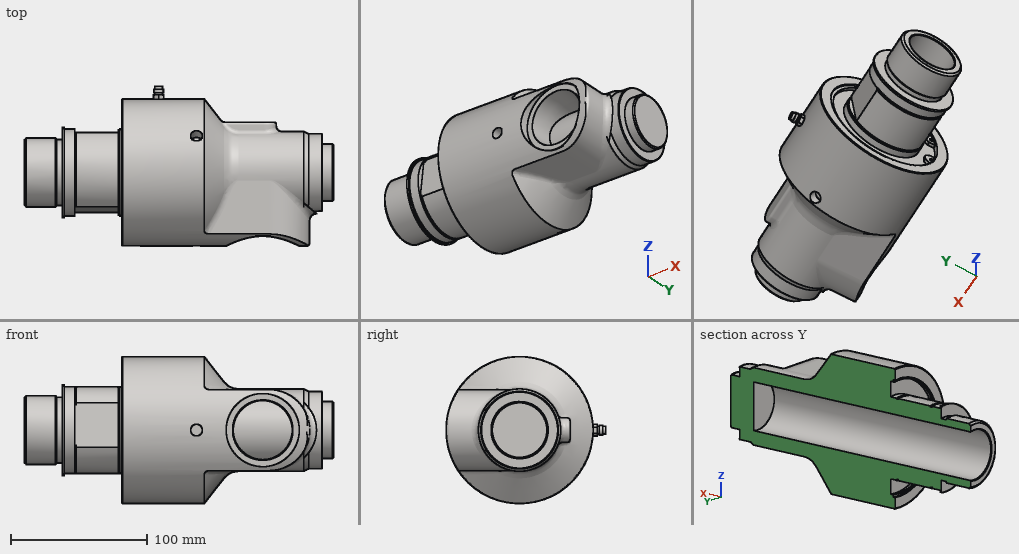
import cadquery as cq
import math


THREAD_END = 24.2
FLANGE_START = 27.6
FLANGE_END = 29.2
COLLAR_END = 37.0
HOUSING_START = 71.4
CONE_START = 132.0
NECK_END = 205.0
SPIGOT_START = 208.5
SPIGOT_END = 218.6
TOTAL_LENGTH = 226.91

THREAD_DIAMETER = 50.75
RELIEF_DIAMETER = 48.6
FLANGE_DIAMETER = 66.7
COLLAR_DIAMETER = 64.0
THREAD_CHAMFER = 1.5
SPINDLE_BORE = 38.1
SPINDLE_BORE_END = NECK_END
SPINDLE_BORE_CHAMFER = 0.5
FLATS_START = 38.2
FLATS_END = 68.8
FLATS_WIDTH = 54.9
FLATS_TILT = 7.7
COLLAR_GROOVE_DEPTH = 0.7
REAR_GROOVE_WIDTH = 1.2

HOUSING_DIAMETER = 108.0
HOUSING_RADIUS = HOUSING_DIAMETER / 2
HOUSING_CHAMFER = 0.6
CONE_ANGLE = 52.0
NECK_RADIUS = 30.25
CONE_NECK_FILLET = 13.5
SPIGOT_DIAMETER = 56.9
SPIGOT_CHAMFER = 0.5
PLUG_DIAMETER = 42.0
PLUG_CHAMFER = 1.0

ARM_HALF_WIDTH = 29.7
ARM_END_CENTER = 179.7
ARM_EDGE_FILLET = 2.5
ARM_ROOT_FILLET = 5.0
ARM_FOOT_HALF_WIDTH = 20.0
ARM_REACH = 60.0
ARM_OVERLAP = 12.0
PORT_X = 174.9
PORT_BORE = 43.26
PORT_RECESS_DIAMETER = 53.7
PORT_RECESS_FLOOR = 46.3
PORT_MOUTH = 44.4
PORT_TAPER_LENGTH = 19.0
PORT_CORE_DIAMETER = 52.0

PAD_TOP = 37.0
PAD_HALF_WIDTH = 9.0
PAD_START = 140.0
PAD_END_CENTER = 176.0
PAD_TOP_FILLET = 2.0
PAD_ROOT_FILLET = 3.5

WEEP_DIAMETER = 8.6
WEEP_X = 126.3
WEEP_DEPTH = 10.0
WEEP_ANGLES = (60, 180, 300)

RECESS_DIAMETER = 90.07
RECESS_DEPTH = 4.0
RING_FRONT = 1.5
RING_INNER_DIAMETER = 86.8
RING_OFFSET = 1.2
RING_THICKNESS = RECESS_DEPTH - RING_FRONT
LUG_HOLE_DIAMETER = 3.12
LUG_HOLE_Y = -41.0
LUG_HOLE_Z = 14.5
LUG_SIDE_Z = 9.3
LUG_WIDTH = 10.9
LUG_INNER_Y = -35.5
LUG_LENGTH = 12.0
LUG_CHAMFER = 3.2

NIPPLE_X = 98.5
NIPPLE_TIP = 63.41
NIPPLE_ROOT_DEPTH = 1.0
NIPPLE_HEX_TOP = 57.0
NIPPLE_HEX_WIDTH = 7.6
NIPPLE_STEM_DIAMETER = 6.0
NIPPLE_BEAD_DIAMETER = 7.4
NIPPLE_BEAD_START = 58.6
NIPPLE_BEAD_END = 61.0


def x_cylinder(diameter, start, end):
    """Cylinder about the X axis."""
    return cq.Workplane("YZ", origin=(start, 0, 0)).circle(diameter / 2).extrude(end - start)


def y_cylinder(diameter, x, start, end):
    """Cylinder parallel to the Y axis, centred on the plane z = 0."""
    return cq.Workplane("XZ", origin=(x, start, 0)).circle(diameter / 2).extrude(start - end)


def round_ended_bar(start, end_center, half_width, y=0):
    """Outline in a plane across Y: a straight bar along X closed by a half circle."""
    return (
        cq.Workplane("XZ", origin=(0, y, 0))
        .moveTo(start, -half_width)
        .lineTo(end_center, -half_width)
        .threePointArc((end_center + half_width, 0), (end_center, half_width))
        .lineTo(start, half_width)
        .close()
    )


def box_around_x(x):
    """Selector for edges centred close to a plane across the X axis."""
    reach = 2 * HOUSING_DIAMETER
    return cq.selectors.BoxSelector((x - 1, -reach, -reach), (x + 1, reach, reach))


def ring_groove(start, end):
    """Shallow groove around the spindle collar."""
    floor = x_cylinder(COLLAR_DIAMETER - 2 * COLLAR_GROOVE_DEPTH, start, end)
    return x_cylinder(FLANGE_DIAMETER, start, end).cut(floor)


def spindle():
    """Threaded end, relief, flange and collar with two wrench flats."""
    thread = x_cylinder(THREAD_DIAMETER, 0, THREAD_END).faces("<X or >X").chamfer(THREAD_CHAMFER)
    relief = x_cylinder(RELIEF_DIAMETER, THREAD_END - THREAD_CHAMFER, FLANGE_START)
    flange = x_cylinder(FLANGE_DIAMETER, FLANGE_START, FLANGE_END)
    collar = x_cylinder(COLLAR_DIAMETER, FLANGE_END, HOUSING_START + RECESS_DEPTH)
    between_flats = (
        cq.Workplane("XY")
        .box(FLATS_END - COLLAR_END, FLATS_WIDTH, 2 * COLLAR_DIAMETER)
        .translate(((COLLAR_END + FLATS_END) / 2, 0, 0))
        .rotate((0, 0, 0), (1, 0, 0), -FLATS_TILT)
    )
    flats = x_cylinder(2 * COLLAR_DIAMETER, COLLAR_END, FLATS_END).cut(between_flats)
    whole = thread.union(relief).union(flange).union(collar).cut(flats)
    whole = whole.cut(ring_groove(COLLAR_END, FLATS_START))
    return whole.cut(ring_groove(FLATS_END, FLATS_END + REAR_GROOVE_WIDTH))


def spindle_bore():
    """Blind bore with a chamfered mouth at the threaded end."""
    mouth = (
        cq.Workplane("YZ")
        .circle(SPINDLE_BORE / 2 + SPINDLE_BORE_CHAMFER)
        .extrude(SPINDLE_BORE_CHAMFER, taper=45)
    )
    return x_cylinder(SPINDLE_BORE, 0, SPINDLE_BORE_END).union(mouth)


def turned_core():
    """Cone and straight neck about X; the cone runs on past the housing surface."""
    slope = math.tan(math.radians(CONE_ANGLE))
    cone_tip_radius = HOUSING_DIAMETER
    cone_tip = CONE_START - (cone_tip_radius - HOUSING_RADIUS) / slope
    cone_foot = CONE_START + (HOUSING_RADIUS - NECK_RADIUS) / slope
    profile = (
        cq.Workplane("XY")
        .moveTo(cone_tip, 0)
        .lineTo(cone_tip, cone_tip_radius)
        .lineTo(cone_foot, NECK_RADIUS)
        .lineTo(SPIGOT_END, NECK_RADIUS)
        .lineTo(SPIGOT_END, 0)
        .close()
    )
    core = profile.revolve(360, (0, 0, 0), (1, 0, 0))
    foot_edge = core.edges("%CIRCLE").edges(box_around_x(cone_foot))
    return foot_edge.fillet(CONE_NECK_FILLET)


def arm():
    """Flat-sided arm with a round end, long enough to reach past the housing surface."""
    return round_ended_bar(CONE_START - ARM_OVERLAP, ARM_END_CENTER, ARM_HALF_WIDTH).extrude(ARM_REACH)


def is_arm_root(edge):
    """True for the curved edges where the arm meets the cone and the neck."""
    bounds = edge.BoundingBox()
    inside = bounds.ymax < 0 and bounds.ymin > -ARM_REACH - 0.1
    return inside and edge.geomType() not in ("LINE", "CIRCLE")


def neck_with_arm():
    """Core and arm blended together, trimmed to the housing cylinder and turned down at the spigot."""
    joined = turned_core().union(arm())
    root_edges = [edge for edge in joined.edges().vals() if is_arm_root(edge)]
    joined = joined.newObject(root_edges).fillet(ARM_ROOT_FILLET)
    joined = joined.intersect(x_cylinder(HOUSING_DIAMETER, CONE_START, SPIGOT_END))
    return joined.cut(spigot_turning()).union(arm_foot()).cut(arm_edge_rounding())


def spigot_turning():
    """Cutter that leaves the tapered shoulder and the spigot."""
    spigot_radius = SPIGOT_DIAMETER / 2
    return (
        cq.Workplane("XY")
        .moveTo(NECK_END, NECK_RADIUS)
        .lineTo(SPIGOT_START, spigot_radius)
        .lineTo(SPIGOT_END - SPIGOT_CHAMFER, spigot_radius)
        .lineTo(SPIGOT_END, spigot_radius - SPIGOT_CHAMFER)
        .lineTo(SPIGOT_END, NECK_RADIUS)
        .close()
        .revolve(360, (0, 0, 0), (1, 0, 0))
    )


def is_foot_edge(edge):
    """True for the curve where the arm end meets the spigot."""
    on_end = edge.BoundingBox().xmin > ARM_END_CENTER + 1 and edge.Center().y < -ARM_FOOT_HALF_WIDTH / 2
    return on_end and edge.geomType() not in ("LINE", "CIRCLE")


def arm_foot():
    """Tip of the arm end blended into the spigot."""
    start = ARM_END_CENTER - ARM_HALF_WIDTH
    spigot = x_cylinder(SPIGOT_DIAMETER, start, SPIGOT_END - SPIGOT_CHAMFER)
    length = 2 * (TOTAL_LENGTH - ARM_END_CENTER)
    slice_box = cq.Workplane("XY").box(length, 2 * HOUSING_DIAMETER, 2 * ARM_FOOT_HALF_WIDTH)
    tip = y_cylinder(2 * ARM_HALF_WIDTH, ARM_END_CENTER, -ARM_REACH, 0)
    tip = tip.intersect(slice_box.translate((ARM_END_CENTER + length / 2, 0, 0)))
    foot = spigot.union(tip)
    foot_edges = [edge for edge in foot.edges().vals() if is_foot_edge(edge)]
    foot = foot.newObject(foot_edges).fillet(ARM_ROOT_FILLET)
    return foot.intersect(x_cylinder(HOUSING_DIAMETER, NECK_END, SPIGOT_END))


def arm_edge_rounding():
    """Cutter that rounds the outer edge of the arm end and fades out towards its flat sides."""
    inner = ARM_HALF_WIDTH - ARM_EDGE_FILLET
    top = ARM_EDGE_FILLET - HOUSING_RADIUS
    middle = ARM_EDGE_FILLET * math.sqrt(0.5)
    return (
        cq.Workplane("XY", origin=(ARM_END_CENTER, 0, 0))
        .moveTo(inner, -HOUSING_RADIUS)
        .threePointArc((inner + middle, top - middle), (ARM_HALF_WIDTH, top))
        .lineTo(ARM_HALF_WIDTH + ARM_EDGE_FILLET, top)
        .lineTo(ARM_HALF_WIDTH + ARM_EDGE_FILLET, -HOUSING_DIAMETER)
        .lineTo(inner, -HOUSING_DIAMETER)
        .close()
        .revolve(180, (0, 0, 0), (0, 1, 0))
        .rotate((ARM_END_CENTER, 0, 0), (ARM_END_CENTER, 1, 0), -90)
    )


def is_pad_root(edge):
    """True for the long edges where the pad side meets the cone blend and the neck."""
    bounds = edge.BoundingBox()
    center = edge.Center()
    beside_pad = abs(center.z) < PAD_HALF_WIDTH + 0.1 and bounds.zmax < NECK_RADIUS / 2
    at_root = NECK_RADIUS - 3 < center.y < PAD_TOP - PAD_TOP_FILLET - 1
    return beside_pad and at_root and bounds.xmax - bounds.xmin > 3


def blend_pad(body):
    """Add the pad to the neck and round its root."""
    pad = round_ended_bar(PAD_START, PAD_END_CENTER, PAD_HALF_WIDTH, PAD_TOP).extrude(PAD_TOP)
    pad = pad.faces(">Y").edges("not <X").fillet(PAD_TOP_FILLET)
    joined = body.union(pad)
    root_edges = [edge for edge in joined.edges().vals() if is_pad_root(edge)]
    return joined.newObject(root_edges).fillet(PAD_ROOT_FILLET)


def housing():
    """Body, cone, neck with arm and pad, spigot and end plug."""
    body = x_cylinder(HOUSING_DIAMETER, HOUSING_START, CONE_START).faces("<X").chamfer(HOUSING_CHAMFER)
    plug = x_cylinder(PLUG_DIAMETER, SPIGOT_END, TOTAL_LENGTH).faces(">X").chamfer(PLUG_CHAMFER)
    return blend_pad(body.union(neck_with_arm())).union(plug)


def port_cut():
    """Port recess and tapered bore, ending on the round inner wall of the neck."""
    recess = y_cylinder(PORT_RECESS_DIAMETER, PORT_X, -HOUSING_DIAMETER, -PORT_RECESS_FLOOR)
    taper_angle = math.degrees(math.atan((PORT_MOUTH - PORT_BORE) / 2 / PORT_TAPER_LENGTH))
    taper = (
        cq.Workplane("XZ", origin=(PORT_X, -PORT_RECESS_FLOOR, 0))
        .circle(PORT_MOUTH / 2)
        .extrude(-PORT_TAPER_LENGTH, taper=taper_angle)
    )
    bore = y_cylinder(PORT_BORE, PORT_X, -PORT_RECESS_FLOOR + PORT_TAPER_LENGTH, 0)
    core = x_cylinder(PORT_CORE_DIAMETER, CONE_START, TOTAL_LENGTH)
    return recess.union(taper).union(bore).cut(core)


def retaining_ring():
    """Eccentric ring in the front recess, open between two drilled lugs."""
    front = HOUSING_START + RING_FRONT
    back = front + RING_THICKNESS
    disc = x_cylinder(RECESS_DIAMETER, front, back)
    opening = x_cylinder(RING_INNER_DIAMETER, front, back).translate((0, -RING_OFFSET, 0))
    gap = cq.Workplane("XY").box(TOTAL_LENGTH, RECESS_DIAMETER, 2 * LUG_SIDE_Z)
    ring = disc.cut(opening).cut(gap.translate((0, -RECESS_DIAMETER / 2, 0)))
    lug_y = LUG_INNER_Y - LUG_LENGTH / 2
    lug_z = LUG_SIDE_Z + LUG_WIDTH / 2
    for side in (-1, 1):
        lug = (
            cq.Workplane("XY")
            .box(RING_THICKNESS, LUG_LENGTH, LUG_WIDTH)
            .edges("|X and >Y")
            .chamfer(LUG_CHAMFER)
            .translate(((front + back) / 2, lug_y, side * lug_z))
        )
        hole = x_cylinder(LUG_HOLE_DIAMETER, front, back)
        hole = hole.translate((0, LUG_HOLE_Y, side * LUG_HOLE_Z))
        ring = ring.union(lug.intersect(disc)).cut(hole)
    return ring


def weep_hole(angle):
    """Radial hole, its angle measured from +Y towards +Z."""
    hole = y_cylinder(WEEP_DIAMETER, WEEP_X, HOUSING_RADIUS - WEEP_DEPTH, HOUSING_RADIUS + WEEP_DEPTH)
    return hole.rotate((0, 0, 0), (1, 0, 0), angle)


def nipple():
    """Hexagonal base, stem and bead of the grease nipple."""
    base = (
        cq.Workplane("XZ", origin=(NIPPLE_X, NIPPLE_HEX_TOP, 0))
        .polygon(6, NIPPLE_HEX_WIDTH, circumscribed=True)
        .extrude(NIPPLE_HEX_TOP - HOUSING_RADIUS + NIPPLE_ROOT_DEPTH)
    )
    stem = y_cylinder(NIPPLE_STEM_DIAMETER, NIPPLE_X, NIPPLE_HEX_TOP, NIPPLE_TIP)
    bead = y_cylinder(NIPPLE_BEAD_DIAMETER, NIPPLE_X, NIPPLE_BEAD_START, NIPPLE_BEAD_END)
    return base.union(stem).union(bead)


front_recess = x_cylinder(RECESS_DIAMETER, HOUSING_START, HOUSING_START + RECESS_DEPTH)
result = housing().cut(front_recess)
result = result.union(spindle()).union(retaining_ring()).cut(port_cut())
result = result.cut(spindle_bore())
for weep_angle in WEEP_ANGLES:
    result = result.cut(weep_hole(weep_angle))
result = result.union(nipple())